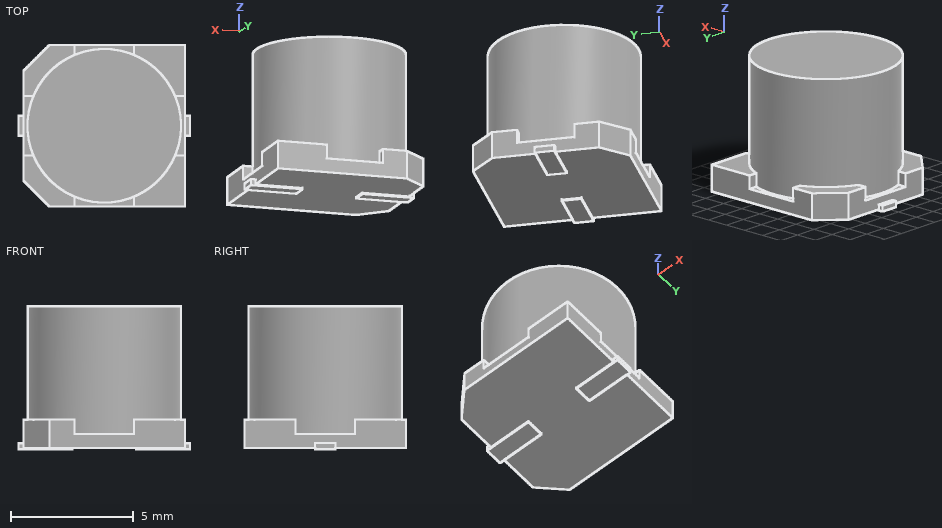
import cadquery as cq

total_height = 5.84
terminal_span = 7.01

base_side = 6.6
base_height = 1.16
corner_chamfer = 1.06
standoff = 0.05

can_diameter = 6.27
notch_width = 2.41
notch_depth = 0.58

terminal_length = 2.22
terminal_width = 0.82
terminal_height = 0.26

base_top = standoff + base_height
seat_level = base_top - notch_depth


def make_can():
    """Plain cylindrical can standing on the floor of the base recess."""
    return (
        cq.Workplane("XY")
        .workplane(offset=seat_level)
        .circle(can_diameter / 2)
        .extrude(total_height - seat_level)
    )


def make_terminal(side):
    """Flat terminal strip; side is -1 for the -X end and +1 for the +X end."""
    center_x = side * (terminal_span - terminal_length) / 2
    return (
        cq.Workplane("XY")
        .center(center_x, 0)
        .rect(terminal_length, terminal_width)
        .extrude(terminal_height)
    )


def make_base(can, terminals):
    """Square base with two chamfered corners, side notches, can seat and terminal slots."""
    base = (
        cq.Workplane("XY")
        .workplane(offset=standoff)
        .rect(base_side, base_side)
        .extrude(base_height)
        .edges("|Z and <X")
        .chamfer(corner_chamfer)
    )

    for length_x, length_y in ((base_side, notch_width), (notch_width, base_side)):
        channel = (
            cq.Workplane("XY")
            .workplane(offset=seat_level)
            .rect(length_x, length_y)
            .extrude(notch_depth)
        )
        base = base.cut(channel)

    base = base.cut(can)
    for terminal in terminals:
        base = base.cut(terminal)
    return base


can = make_can()
terminals = [make_terminal(side) for side in (-1, 1)]
base = make_base(can, terminals)

result = cq.Compound.makeCompound(
    [base.solids().val(), can.val(), *[terminal.val() for terminal in terminals]]
)